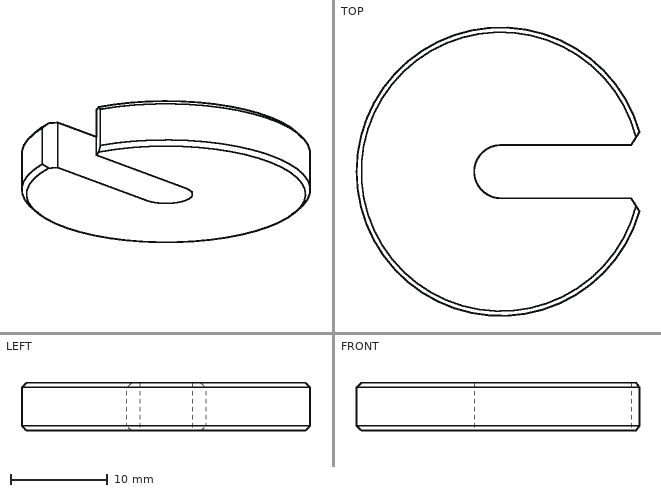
import cadquery as cq
import math

disc_radius = 15.0
thickness = 5.0
rim_chamfer = 0.5
slot_width = 5.5
mouth_outer_x = 14.42
mouth_inner_x = 13.55

slot_radius = slot_width / 2
mouth_half_width = math.sqrt(disc_radius**2 - mouth_outer_x**2)
flare_slope = (mouth_half_width - slot_radius) / (mouth_outer_x - mouth_inner_x)

cutter_overrun = 1.0
cutter_end_x = disc_radius + cutter_overrun
cutter_half_width = slot_radius + flare_slope * (cutter_end_x - mouth_inner_x)


def make_disc():
    """Disc with the top and bottom rims chamfered."""
    disc = cq.Workplane("XY").circle(disc_radius).extrude(thickness)
    return disc.edges("%CIRCLE").chamfer(rim_chamfer)


def make_slot_cutter():
    """Slot with a round end on the disc axis and a flared mouth."""
    return (
        cq.Workplane("XY")
        .moveTo(0, slot_radius)
        .threePointArc((-slot_radius, 0), (0, -slot_radius))
        .lineTo(mouth_inner_x, -slot_radius)
        .lineTo(cutter_end_x, -cutter_half_width)
        .lineTo(cutter_end_x, cutter_half_width)
        .lineTo(mouth_inner_x, slot_radius)
        .close()
        .extrude(thickness)
    )


result = make_disc().cut(make_slot_cutter())